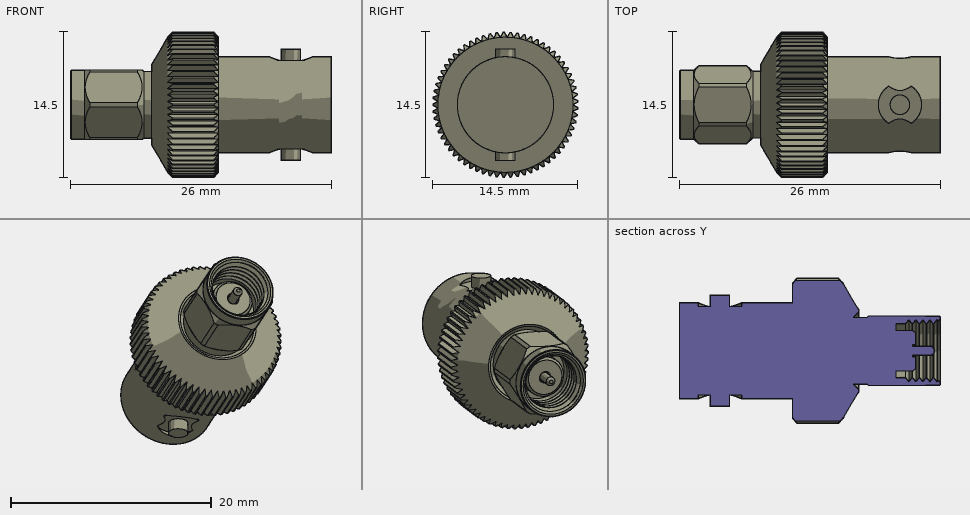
import cadquery as cq
import math

total_length = 26.0

nose_radius = 6.92 / 2
nose_length = 1.4
nose_chamfer = 0.08
hex_across_flats = 6.97
hex_corner_radius = 3.9
hex_end = 7.3
hex_front_chamfer = (0.52, 0.47)
neck_radius = 6.68 / 2
hex_back_chamfer = (0.62, hex_corner_radius - neck_radius)

bore_mouth_radius = 6.35 / 2
thread_root_radius = 6.16 / 2
thread_crest_radius = 2.68
thread_pitch = 0.7
thread_turns = 5
thread_crest_flat = 0.08
first_root_x = 0.35
bore_floor_x = 4.42

insulator_radius = 4.05 / 2
insulator_face_x = 2.47
insulator_chamfer = 0.25
pin_radius = 0.9 / 2
pin_tip_radius = 0.18
pin_tip_x = 0.6
pin_taper_length = 0.23
pin_clearance_radius = 1.17 / 2
pin_clearance_depth = 0.25

ring_front_x = 8.1
ring_front_radius = 4.03
recess_radius = 7.62 / 2
recess_bevel_depth = 0.08
recess_depth = 0.57
knurl_start_x = 9.68
knurl_end_x = 14.75
knurl_tip_radius = 14.5 / 2
knurl_root_radius = 6.74
knurl_front_chamfer = 0.5
knurl_back_chamfer = 0.45
tooth_count = 65
groove_share = 0.8

body_radius = 9.6 / 2
groove_x = 21.98
groove_width = 2.3
groove_depth = 0.15
lug_radius = 1.95 / 2
lug_height = 5.55
lug_seat_radius = 4.32 / 2
lug_seat_height = 4.42


def turned(points):
    """Solid of revolution about X from (x, radius) points."""
    return cq.Workplane("XY").polyline(points).close().revolve(360, (0, 0, 0), (1, 0, 0))


def coupling_nut():
    nose = turned([
        (0, 0),
        (0, nose_radius - nose_chamfer),
        (nose_chamfer, nose_radius),
        (nose_length, nose_radius),
        (nose_length, 0),
    ])
    neck = turned([(hex_end, 0), (hex_end, neck_radius), (knurl_start_x, neck_radius), (knurl_start_x, 0)])
    hexagon = (
        cq.Workplane("YZ", origin=(nose_length, 0, 0))
        .polygon(6, hex_across_flats / math.cos(math.pi / 6))
        .extrude(hex_end - nose_length)
    )
    front_length, front_drop = hex_front_chamfer
    back_length, back_drop = hex_back_chamfer
    envelope = turned([
        (nose_length, 0),
        (nose_length, hex_corner_radius - front_drop),
        (nose_length + front_length, hex_corner_radius),
        (hex_end - back_length, hex_corner_radius),
        (hex_end, hex_corner_radius - back_drop),
        (hex_end, 0),
    ])
    return nose.union(hexagon.intersect(envelope)).union(neck)


def threaded_bore():
    """Cutter for the bore: mouth chamfer, V grooves one pitch apart, plain end."""
    flank_length = (thread_pitch - thread_crest_flat) / 2
    flank_slope = (thread_root_radius - thread_crest_radius) / flank_length
    flank_radius_at_mouth = thread_root_radius - flank_slope * first_root_x
    mouth_chamfer = (bore_mouth_radius - flank_radius_at_mouth) / (1 + flank_slope)
    points = [(0, 0), (0, bore_mouth_radius), (mouth_chamfer, bore_mouth_radius - mouth_chamfer)]
    for turn in range(thread_turns):
        root_x = first_root_x + turn * thread_pitch
        if turn > 0:
            points.append((root_x - flank_length, thread_crest_radius))
        points.append((root_x, thread_root_radius))
        points.append((root_x + flank_length, thread_crest_radius))
    points += [(bore_floor_x, thread_crest_radius), (bore_floor_x, 0)]
    return turned(points)


def insulator_and_pin():
    clearance_floor_x = insulator_face_x + pin_clearance_depth
    return turned([
        (pin_tip_x, 0),
        (pin_tip_x, pin_tip_radius),
        (pin_tip_x + pin_taper_length, pin_radius),
        (clearance_floor_x, pin_radius),
        (clearance_floor_x, pin_clearance_radius),
        (insulator_face_x, pin_clearance_radius),
        (insulator_face_x, insulator_radius - insulator_chamfer),
        (insulator_face_x + insulator_chamfer, insulator_radius),
        (bore_floor_x, insulator_radius),
        (bore_floor_x, 0),
    ])


def knurled_ring():
    blank = turned([
        (ring_front_x + recess_depth, 0),
        (ring_front_x + recess_depth, neck_radius),
        (ring_front_x + recess_bevel_depth, recess_radius),
        (ring_front_x, ring_front_radius),
        (knurl_start_x, knurl_root_radius),
        (knurl_start_x + knurl_front_chamfer, knurl_tip_radius),
        (knurl_end_x - knurl_back_chamfer, knurl_tip_radius),
        (knurl_end_x, knurl_root_radius),
        (knurl_end_x, 0),
    ])
    pitch_angle = 2 * math.pi / tooth_count
    half_tip_angle = pitch_angle * (1 - groove_share) / 2
    outline = []
    for tooth in range(tooth_count):
        middle = math.pi + tooth * pitch_angle
        corners = [
            (knurl_tip_radius, middle - half_tip_angle),
            (knurl_tip_radius, middle + half_tip_angle),
            (knurl_root_radius, middle + pitch_angle / 2),
        ]
        outline += [(radius * math.cos(angle), radius * math.sin(angle)) for radius, angle in corners]
    star = (
        cq.Workplane("YZ", origin=(ring_front_x, 0, 0))
        .polyline(outline)
        .close()
        .extrude(knurl_end_x - ring_front_x)
    )
    return blank.intersect(star)


def bayonet_body():
    groove_start_x = groove_x - groove_width / 2
    body = (
        cq.Workplane("XY")
        .moveTo(knurl_end_x, 0)
        .lineTo(knurl_end_x, body_radius)
        .lineTo(groove_start_x, body_radius)
        .threePointArc((groove_x, body_radius - groove_depth), (groove_start_x + groove_width, body_radius))
        .lineTo(total_length, body_radius)
        .lineTo(total_length, 0)
        .close()
        .revolve(360, (0, 0, 0), (1, 0, 0))
    )
    for side in (1, -1):
        seat = (
            cq.Workplane("XY", origin=(groove_x, 0, side * lug_seat_height))
            .circle(lug_seat_radius)
            .extrude(side * (lug_height - lug_seat_height))
        )
        body = body.cut(seat)
    lugs = (
        cq.Workplane("XY", origin=(groove_x, 0, 0))
        .circle(lug_radius)
        .extrude(lug_height, both=True)
    )
    return body.union(lugs)


result = (
    coupling_nut()
    .cut(threaded_bore())
    .union(insulator_and_pin())
    .union(knurled_ring())
    .union(bayonet_body())
)